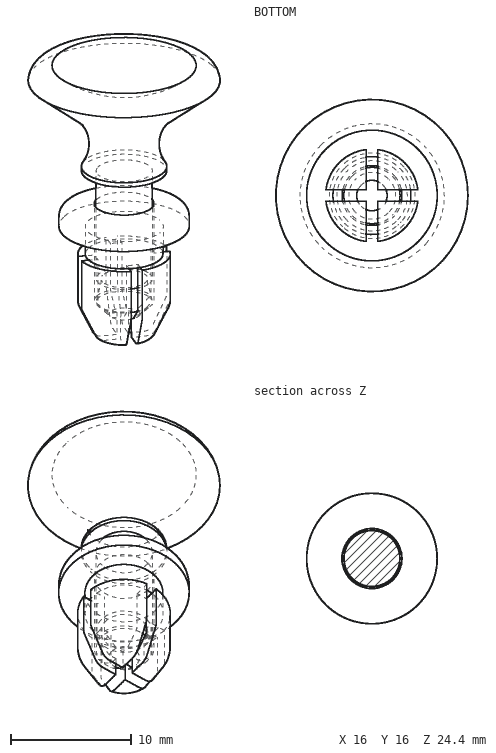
import cadquery as cq
import math

total_height = 24.4
rim_radius = 8.0
rim_bottom_z = 23.05
rim_flat_radius = 6.5
dish_radius = 6.0
dish_depth = 2.05
cone_bottom_radius = 4.2
cone_bottom_z = 20.03
waist_radius = 2.93
waist_z = 17.37
collar_radius = 3.56
collar_top_z = 15.3
collar_bottom_z = 14.9

stem_radius = 2.35
groove_radius = 1.95
groove_top_z = 5.17
flare_top_z = 4.73
tip_edge_z = 3.05
tip_bottom_z = 1.98
tip_radius = stem_radius - (tip_edge_z - tip_bottom_z)

flange_radius = 5.45
bore_radius = 2.5
flange_top_radius = 3.2
flange_top_z = 11.93
flange_corner_z = 11.4
flange_bottom_z = 9.88
flange_fillet = 0.8
neck_radius = 3.25
leg_radius = 3.85
leg_top_z = 7.4
taper_top_z = 3.03
taper_bottom_radius = 2.42
taper_top_fillet = 0.7
taper_bottom_fillet = 0.83
slot_width = 0.98


def revolve_about_z(profile):
    """Close a half profile drawn in the XZ plane and turn it about Z."""
    return profile.close().revolve(360, (0, 0, 0), (0, 1, 0))


def rim_arc_middle():
    """Point halfway along the rim arc, which is tangent to the flat top."""
    width = rim_radius - rim_flat_radius
    height = total_height - rim_bottom_z
    arc_radius = (width**2 + height**2) / (2 * height)
    half_angle = math.atan2(height, width)
    return (
        rim_flat_radius + arc_radius * math.sin(half_angle),
        total_height - arc_radius * (1 - math.cos(half_angle)),
    )


def make_plunger():
    profile = (
        cq.Workplane("XZ")
        .moveTo(0, tip_bottom_z)
        .lineTo(tip_radius, tip_bottom_z)
        .lineTo(stem_radius, tip_edge_z)
        .lineTo(groove_radius, flare_top_z)
        .lineTo(groove_radius, groove_top_z)
        .lineTo(stem_radius, groove_top_z)
        .lineTo(stem_radius, collar_bottom_z)
        .lineTo(collar_radius, collar_bottom_z)
        .lineTo(collar_radius, collar_top_z)
        .threePointArc((waist_radius, waist_z), (cone_bottom_radius, cone_bottom_z))
        .lineTo(rim_radius, rim_bottom_z)
        .threePointArc(rim_arc_middle(), (rim_flat_radius, total_height))
        .lineTo(0, total_height)
    )
    dish_sphere_radius = (dish_radius**2 + dish_depth**2) / (2 * dish_depth)
    dish_center_z = total_height - dish_depth + dish_sphere_radius
    dish = cq.Workplane("XY").sphere(dish_sphere_radius).translate((0, 0, dish_center_z))
    return revolve_about_z(profile).cut(dish)


def circle_at(radius, z):
    """Box around one circular edge's center, thin enough to pick only that height."""
    reach = radius / 2
    thickness = 0.02
    return cq.selectors.BoxSelector(
        (-reach, -reach, z - thickness), (reach, reach, z + thickness)
    )


def make_grommet_body():
    profile = (
        cq.Workplane("XZ")
        .lineTo(taper_bottom_radius, 0)
        .lineTo(leg_radius, taper_top_z)
        .lineTo(leg_radius, leg_top_z)
        .lineTo(neck_radius, leg_top_z)
        .lineTo(neck_radius, flange_bottom_z)
        .lineTo(flange_radius, flange_bottom_z)
        .lineTo(flange_radius, flange_corner_z)
        .lineTo(flange_top_radius, flange_top_z)
        .lineTo(0, flange_top_z)
    )
    body = revolve_about_z(profile)
    for radius, z, fillet in (
        (flange_radius, flange_corner_z, flange_fillet),
        (leg_radius, taper_top_z, taper_top_fillet),
        (taper_bottom_radius, 0, taper_bottom_fillet),
    ):
        body = body.edges("%CIRCLE").edges(circle_at(radius, z)).fillet(fillet)
    return body


def make_bore():
    """Blind bore, clear of the stem, with a 45 degree end that seats the plunger tip."""
    profile = (
        cq.Workplane("XZ")
        .moveTo(0, tip_bottom_z)
        .lineTo(tip_radius, tip_bottom_z)
        .lineTo(bore_radius, tip_bottom_z + bore_radius - tip_radius)
        .lineTo(bore_radius, flange_top_z)
        .lineTo(0, flange_top_z)
    )
    return revolve_about_z(profile)


def make_grommet():
    grommet = make_grommet_body().cut(make_bore())
    slot = cq.Workplane("XY").box(
        2 * flange_radius, slot_width, leg_top_z, centered=(True, True, False)
    )
    for angle in (0, 90):
        grommet = grommet.cut(slot.rotate((0, 0, 0), (0, 0, 1), angle))
    return grommet


plunger = make_plunger()
grommet = make_grommet()
result = cq.Compound.makeCompound([plunger.val(), grommet.val()])